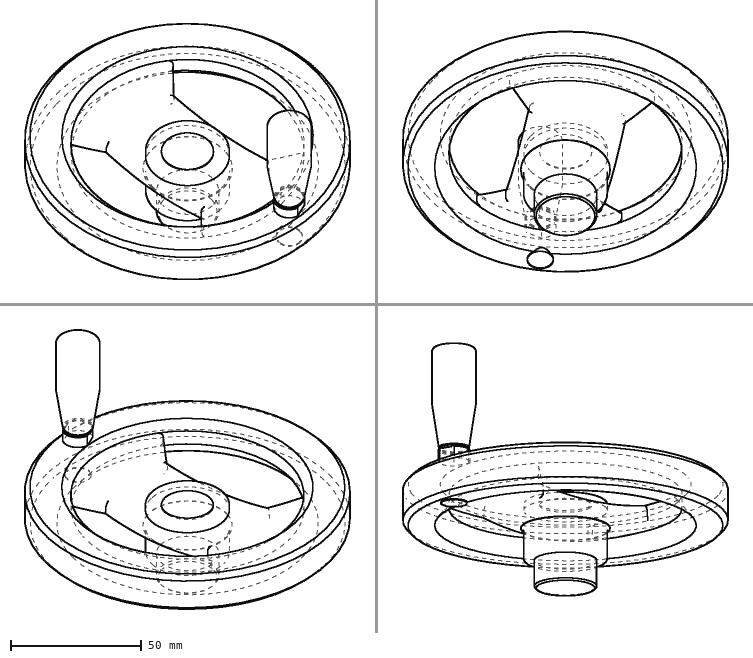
import cadquery as cq
import math

RIM_RADIUS = 62.5
RIM_HEIGHT = 16.2
RIM_CHAMFER = 2.0
RIM_TOP_INNER_RADIUS = 48.2
RIM_WALL_RADIUS = 44.8
RIM_WALL_TOP = 12.8
RIM_WALL_BOTTOM = 6.8
RIM_BOTTOM_INNER_RADIUS = 50.2

HUB_RADIUS = 32.2 / 2
HUB_TOP = 9.1
HUB_BOTTOM = -14.0
HUB_ROUND = 1.0
STUB_RADIUS = 24.0 / 2
STUB_BOTTOM = -25.0
STUB_CHAMFER = 0.8
RECESS_RADIUS = 10.0
RECESS_ROUND = 1.0

WEB_TOP_AT_HUB = 6.0
WEB_BOTTOM_AT_HUB = -1.2
WEB_SAG = 0.81
WEB_BURIED_DEPTH = 1.2
WEB_HALF_WIDTH = 18.8
WEB_WAIST_HALF_LENGTH = 25.1
WEB_ROUND = 2.2
WEB_FILLET = 1.0

GRIP_RADIUS = 17.0 / 2
GRIP_TOP = 61.5
GRIP_TAPER_TOP = 39.2
GRIP_BOTTOM = 21.5
GRIP_BOTTOM_RADIUS = 5.9
GRIP_ROUND = 1.5
HANDLE_X = RIM_RADIUS - GRIP_RADIUS
COLLAR_RADIUS = 12.0 / 2
COLLAR_TOP = 21.1
COLLAR_BURIED_DEPTH = 0.6
NECK_RADIUS = 5.4
GRIP_JOINT_CHAMFER = 0.4
COLLAR_FLAT_DISTANCE = 5.0
COLLAR_FLAT_ANGLE = 20.0
PIN_RADIUS = 10.0 / 2
PIN_BOTTOM = -0.4


def revolve_profile(points):
    """Revolve a closed (radius, z) outline about the Z axis."""
    return cq.Workplane("XZ").polyline(points).close().revolve(360, (0, 0), (0, 1))


def cylinder(radius, bottom, top):
    return cq.Workplane("XY").workplane(offset=bottom).circle(radius).extrude(top - bottom)


def make_rim():
    """Chamfered ring whose inner wall tapers in from both sides."""
    chamfered_radius = RIM_RADIUS - RIM_CHAMFER
    return revolve_profile([
        (RIM_BOTTOM_INNER_RADIUS, 0),
        (chamfered_radius, 0),
        (RIM_RADIUS, RIM_CHAMFER),
        (RIM_RADIUS, RIM_HEIGHT - RIM_CHAMFER),
        (chamfered_radius, RIM_HEIGHT),
        (RIM_TOP_INNER_RADIUS, RIM_HEIGHT),
        (RIM_WALL_RADIUS, RIM_WALL_TOP),
        (RIM_WALL_RADIUS, RIM_WALL_BOTTOM),
    ])


def make_web():
    """Shallow dish cut to a waisted plan shape, with rounded long edges."""
    middle_radius = (HUB_RADIUS + RIM_WALL_RADIUS) / 2
    middle_top = (WEB_TOP_AT_HUB + RIM_WALL_TOP) / 2 - WEB_SAG
    middle_bottom = (WEB_BOTTOM_AT_HUB + RIM_WALL_BOTTOM) / 2 - WEB_SAG
    buried_radius = RIM_WALL_RADIUS + WEB_BURIED_DEPTH
    dish = (
        cq.Workplane("XZ")
        .moveTo(0, WEB_BOTTOM_AT_HUB)
        .lineTo(HUB_RADIUS, WEB_BOTTOM_AT_HUB)
        .threePointArc((middle_radius, middle_bottom), (RIM_WALL_RADIUS, RIM_WALL_BOTTOM))
        .lineTo(buried_radius, RIM_WALL_BOTTOM)
        .lineTo(buried_radius, RIM_WALL_TOP)
        .lineTo(RIM_WALL_RADIUS, RIM_WALL_TOP)
        .threePointArc((middle_radius, middle_top), (HUB_RADIUS, WEB_TOP_AT_HUB))
        .lineTo(0, WEB_TOP_AT_HUB)
        .close()
        .revolve(360, (0, 0), (0, 1))
    )
    flare_x = RIM_RADIUS
    flare_y = WEB_HALF_WIDTH + flare_x - WEB_WAIST_HALF_LENGTH
    right_side = [
        (WEB_WAIST_HALF_LENGTH, -WEB_HALF_WIDTH),
        (flare_x, -flare_y),
        (flare_x, flare_y),
        (WEB_WAIST_HALF_LENGTH, WEB_HALF_WIDTH),
    ]
    left_side = [(-x, -y) for x, y in right_side]
    plan = (
        cq.Workplane("XY")
        .workplane(offset=STUB_BOTTOM)
        .polyline(right_side + left_side)
        .close()
        .extrude(RIM_HEIGHT - STUB_BOTTOM)
    )
    web = dish.intersect(plan)
    side_faces = web.faces("#Z").faces("%PLANE")
    long_edges = side_faces.edges("not(|Z)")
    return web.newObject(long_edges.vals()).fillet(WEB_ROUND)


def make_hub():
    """Rounded hub with a narrower chamfered shaft stub below it."""
    hub = cylinder(HUB_RADIUS, HUB_BOTTOM, HUB_TOP).edges().fillet(HUB_ROUND)
    stub = cylinder(STUB_RADIUS, STUB_BOTTOM, HUB_BOTTOM + HUB_ROUND)
    return hub.union(stub.faces("<Z").chamfer(STUB_CHAMFER))


def make_web_fillet():
    """Concave fillet ring between the hub and the underside of the web."""
    outer_radius = HUB_RADIUS + WEB_FILLET
    bottom = WEB_BOTTOM_AT_HUB - WEB_FILLET
    inset = WEB_FILLET * (1 - math.sqrt(0.5))
    return (
        cq.Workplane("XZ")
        .moveTo(HUB_RADIUS, bottom)
        .threePointArc(
            (HUB_RADIUS + inset, WEB_BOTTOM_AT_HUB - inset),
            (outer_radius, WEB_BOTTOM_AT_HUB),
        )
        .lineTo(outer_radius, 0)
        .lineTo(0, 0)
        .lineTo(0, bottom)
        .close()
        .revolve(360, (0, 0), (0, 1))
    )


def make_hub_recess():
    """Shallow recess in the hub's top face, with a rounded lip."""
    inset = RECESS_ROUND * (1 - math.sqrt(0.5))
    floor = HUB_TOP - RECESS_ROUND
    return (
        cq.Workplane("XZ")
        .moveTo(0, floor)
        .lineTo(RECESS_RADIUS, floor)
        .threePointArc((RECESS_RADIUS + inset, HUB_TOP - inset), (RECESS_RADIUS + RECESS_ROUND, HUB_TOP))
        .lineTo(0, HUB_TOP)
        .close()
        .revolve(360, (0, 0), (0, 1))
    )


def make_handle():
    """Grip on a wrench-flatted collar, with a pin that passes through the rim."""
    collar = cylinder(COLLAR_RADIUS, RIM_HEIGHT - COLLAR_BURIED_DEPTH, COLLAR_TOP)
    collar = collar.faces(">Z").chamfer(GRIP_JOINT_CHAMFER)
    flats = (
        cq.Workplane("XY")
        .box(2 * COLLAR_FLAT_DISTANCE, 2 * GRIP_RADIUS, 2 * GRIP_TOP)
        .rotate((0, 0, 0), (0, 0, 1), COLLAR_FLAT_ANGLE)
    )
    grip = revolve_profile([
        (0, GRIP_BOTTOM),
        (GRIP_BOTTOM_RADIUS - GRIP_JOINT_CHAMFER, GRIP_BOTTOM),
        (GRIP_BOTTOM_RADIUS, GRIP_BOTTOM + GRIP_JOINT_CHAMFER),
        (GRIP_RADIUS, GRIP_TAPER_TOP),
        (GRIP_RADIUS, GRIP_TOP),
        (0, GRIP_TOP),
    ])
    grip = grip.faces(">Z").edges().fillet(GRIP_ROUND)
    neck = cylinder(NECK_RADIUS, COLLAR_TOP - GRIP_JOINT_CHAMFER, GRIP_BOTTOM + GRIP_JOINT_CHAMFER)
    pin = cylinder(PIN_RADIUS, PIN_BOTTOM, RIM_HEIGHT)
    return collar.intersect(flats).union(pin).union(neck).union(grip).translate((HANDLE_X, 0, 0))


wheel = make_rim().union(make_web()).union(make_hub()).union(make_web_fillet()).cut(make_hub_recess())
result = wheel.union(make_handle())